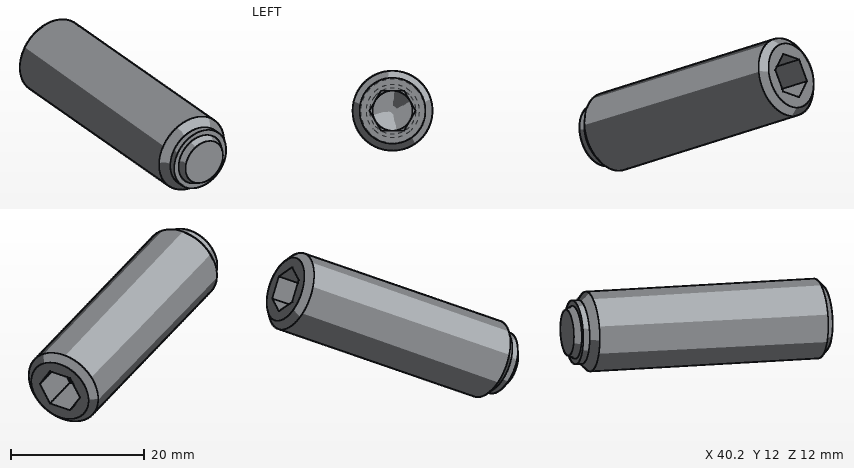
import cadquery as cq
import math

length = 40.2
body_diameter = 12.0
body_radius = body_diameter / 2

socket_face_radius = 4.95
socket_chamfer_length = 1.05

tip_taper_length = 1.05
collar_length = 1.0
tip_chamfer_length = 1.2
collar_radius = body_radius - tip_chamfer_length
tip_base_radius = 3.98
tip_end_radius = 3.45

hex_across_flats = 6.0
hex_depth = 6.05
drill_point_angle = 120.0

half = length / 2
socket_face_x = -half
collar_end_x = half - tip_taper_length
collar_start_x = collar_end_x - collar_length
body_end_x = collar_start_x - tip_chamfer_length


def make_body():
    """Revolve the half outline about the X axis."""
    return (
        cq.Workplane("XY")
        .moveTo(socket_face_x, 0)
        .lineTo(socket_face_x, socket_face_radius)
        .lineTo(socket_face_x + socket_chamfer_length, body_radius)
        .lineTo(body_end_x, body_radius)
        .lineTo(collar_start_x, collar_radius)
        .lineTo(collar_end_x, collar_radius)
        .lineTo(collar_end_x, tip_base_radius)
        .lineTo(half, tip_end_radius)
        .lineTo(half, 0)
        .close()
        .revolve(360, (0, 0, 0), (1, 0, 0))
    )


def make_socket():
    """Hexagonal prism with corners on the Y axis, ending in a drill-point cone."""
    across_corners = hex_across_flats / math.cos(math.radians(30))
    cone_radius = hex_across_flats / 2
    cone_depth = cone_radius / math.tan(math.radians(drill_point_angle / 2))
    prism = (
        cq.Workplane("YZ", origin=(socket_face_x, 0, 0))
        .polygon(6, across_corners)
        .extrude(hex_depth)
    )
    cone = cq.Solid.makeCone(
        cone_radius,
        0,
        cone_depth,
        pnt=cq.Vector(socket_face_x + hex_depth, 0, 0),
        dir=cq.Vector(1, 0, 0),
    )
    return prism.union(cq.Workplane(cone))


result = make_body().cut(make_socket())